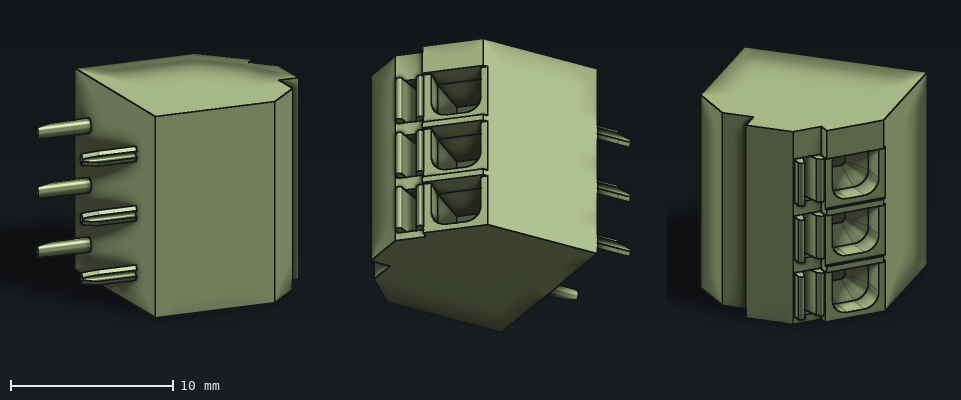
import cadquery as cq
import math


WIDTH = 12.0
HEIGHT = 12.93
BODY_DEPTH = 11.7
SHOULDER_Y = 8.1
PEAK_X = 2.75
NOTCH_DEPTH = 0.75
BACK_STEP_X = 7.73
BACK_STEP_Y = 10.33

POLE_COUNT = 3
POLE_PITCH = 3.81
RECESS_HEIGHT = 3.4
RECESS_DROP = 0.31

MOUTH_START = 0.44
MOUTH_WIDTH = 3.17
MOUTH_FLOOR_Z = 0.4
MOUTH_RADIUS = 1.0
MOUTH_DEPTH = 1.5
TAPER_DEPTH = 1.87
TAPER_ANGLE = math.radians(21)

LEVER_BASE_Z = 0.51
LEVER_TOP_Z = 3.38
SLOT_TOP_Z = 3.45
SLOT_LENGTH = 1.8
SLOT_DEPTH = 1.32
LEVER_TILT = math.radians(30)
BUMP_RADIUS = 0.14
TAB_RADIUS = 0.19
BUMP_X = 2.97
BUMP_TOP_Y = 10.95
BUMP_FLAT_END_X = 3.39
TAB_TOP_Y = 11.95
TAB_X = 3.87

PIN_XS = {1.99: 1, 9.25: -1}
PIN_Z = 2.16
PIN_LENGTH = 3.61
PIN_TAPER_LENGTH = 1.03
PIN_OUTER_RADIUS = 0.5
PIN_INNER_RADIUS = 0.17
PIN_ARM_LENGTH = 0.12
PIN_HALF_ANGLE = math.radians(60)
PIN_TIP_APEX = 0.12
PIN_OVERLAP = 0.15

DIAGONAL = math.sqrt(0.5)
PEAK = (PEAK_X, SHOULDER_Y + PEAK_X)
NOTCH_ROOT = (PEAK[0] + NOTCH_DEPTH * DIAGONAL, PEAK[1] - NOTCH_DEPTH * DIAGONAL)
NOTCH_TOP = (NOTCH_ROOT[0] + BODY_DEPTH - NOTCH_ROOT[1], BODY_DEPTH)


def prism(points, base_z, top_z):
    """Straight block along Z over a polygon."""
    return cq.Workplane("XY").workplane(offset=base_z).polyline(points).close().extrude(top_z - base_z)


def diagonal_point(start, along, inward):
    """Point reached from start by going up along the 45 degree face and then into the housing."""
    return (start[0] + (along + inward) * DIAGONAL, start[1] + (along - inward) * DIAGONAL)


def housing():
    back_chamfer_x = WIDTH - (BACK_STEP_Y - SHOULDER_Y)
    outline = [
        (0, 0),
        (0, SHOULDER_Y),
        PEAK,
        NOTCH_ROOT,
        NOTCH_TOP,
        (BACK_STEP_X, BODY_DEPTH),
        (BACK_STEP_X, BACK_STEP_Y),
        (back_chamfer_x, BACK_STEP_Y),
        (WIDTH, SHOULDER_Y),
        (WIDTH, 0),
    ]
    return prism(outline, 0, HEIGHT)


def recess(base_z):
    """Lowers the 45 degree face, up to the notch wall, over the height of one cell."""
    wall_drop = RECESS_DROP / 2
    outline = [
        (0, SHOULDER_Y - RECESS_DROP),
        (PEAK[0] + wall_drop, PEAK[1] - wall_drop),
        PEAK,
        (0, SHOULDER_Y),
    ]
    return prism(outline, base_z, base_z + RECESS_HEIGHT)


def entry_wire(base_z, inward, inset):
    """Mouth outline shrunk by inset, parallel to the recessed 45 degree face and inward from it."""
    plane = cq.Plane(
        origin=(inward * DIAGONAL, SHOULDER_Y - RECESS_DROP - inward * DIAGONAL, base_z),
        xDir=(1, 1, 0),
        normal=(1, -1, 0),
    )
    start = MOUTH_START + inset
    end = MOUTH_START + MOUTH_WIDTH - inset
    floor = MOUTH_FLOOR_Z + inset
    ceiling = RECESS_HEIGHT - inset
    radius = MOUTH_RADIUS - inset
    outline = (
        cq.Workplane(plane)
        .moveTo(start + radius, floor)
        .lineTo(end - radius, floor)
        .radiusArc((end, floor + radius), -radius)
        .lineTo(end, ceiling)
        .lineTo(start, ceiling)
        .lineTo(start, floor + radius)
        .radiusArc((start + radius, floor), -radius)
        .close()
    )
    return outline.val()


def wire_entry(base_z):
    mouth = entry_wire(base_z, 0, 0)
    bend = entry_wire(base_z, MOUTH_DEPTH, 0)
    end = entry_wire(base_z, MOUTH_DEPTH + TAPER_DEPTH, TAPER_DEPTH * math.tan(TAPER_ANGLE))
    slot = cq.Solid.makeLoft([mouth, bend], True)
    taper = cq.Solid.makeLoft([bend, end], True)
    return cq.Workplane(slot).union(cq.Workplane(taper))


def lever_slot(base_z):
    outline = [
        NOTCH_ROOT,
        diagonal_point(NOTCH_ROOT, SLOT_LENGTH, 0),
        diagonal_point(NOTCH_ROOT, SLOT_LENGTH, SLOT_DEPTH),
        diagonal_point(NOTCH_ROOT, 0, SLOT_DEPTH),
    ]
    return prism(outline, base_z + LEVER_BASE_Z, base_z + SLOT_TOP_Z)


def lever(base_z):
    """Lever filling the slot, with a V groove between a low bump and a tall tab."""
    sin_tilt = math.sin(LEVER_TILT)
    cos_tilt = math.cos(LEVER_TILT)

    tip_centre = (TAB_X + TAB_RADIUS, TAB_TOP_Y - TAB_RADIUS)
    flank_start = (tip_centre[0] - TAB_RADIUS * cos_tilt, tip_centre[1] - TAB_RADIUS * sin_tilt)

    across = flank_start[0] - BUMP_FLAT_END_X
    down = BUMP_TOP_Y - flank_start[1]
    flank_length = (across * sin_tilt - down * cos_tilt) / math.cos(2 * LEVER_TILT)
    groove_root = (flank_start[0] + flank_length * sin_tilt, flank_start[1] - flank_length * cos_tilt)

    slot_end = diagonal_point(NOTCH_ROOT, SLOT_LENGTH, 0)
    tab_back_x = slot_end[0] + slot_end[1] - TAB_TOP_Y
    bump_foot = (BUMP_X, NOTCH_ROOT[0] + NOTCH_ROOT[1] - BUMP_X)
    profile = (
        cq.Workplane("XY")
        .workplane(offset=base_z + LEVER_BASE_Z)
        .moveTo(*NOTCH_ROOT)
        .lineTo(*bump_foot)
        .lineTo(BUMP_X, BUMP_TOP_Y - BUMP_RADIUS)
        .radiusArc((BUMP_X + BUMP_RADIUS, BUMP_TOP_Y), BUMP_RADIUS)
        .lineTo(BUMP_FLAT_END_X, BUMP_TOP_Y)
        .lineTo(*groove_root)
        .lineTo(*flank_start)
        .radiusArc((tip_centre[0], TAB_TOP_Y), TAB_RADIUS)
        .lineTo(tab_back_x, TAB_TOP_Y)
        .lineTo(*diagonal_point(NOTCH_ROOT, SLOT_LENGTH, SLOT_DEPTH))
        .lineTo(*diagonal_point(NOTCH_ROOT, 0, SLOT_DEPTH))
        .close()
    )
    return profile.extrude(LEVER_TOP_Z - LEVER_BASE_Z)


def pin_bar(centre_x, side, centre_z, length):
    """C-shaped bar that stands out of the housing by length, centred on the arc of its section."""

    def arm_point(radius, length, end):
        """Point on an arm, length beyond the arc; end is 1 for the upper arm, -1 for the lower."""
        x = radius * math.cos(PIN_HALF_ANGLE) - length * math.sin(PIN_HALF_ANGLE)
        z = radius * math.sin(PIN_HALF_ANGLE) + length * math.cos(PIN_HALF_ANGLE)
        return (side * x, end * z)

    outer = PIN_OUTER_RADIUS
    inner = PIN_INNER_RADIUS
    section = (
        cq.Workplane("XZ", origin=(centre_x, PIN_OVERLAP, centre_z))
        .moveTo(*arm_point(outer, PIN_ARM_LENGTH, 1))
        .lineTo(*arm_point(outer, 0, 1))
        .threePointArc((side * outer, 0), arm_point(outer, 0, -1))
        .lineTo(*arm_point(outer, PIN_ARM_LENGTH, -1))
        .lineTo(*arm_point(inner, PIN_ARM_LENGTH, -1))
        .lineTo(*arm_point(inner, 0, -1))
        .threePointArc((side * inner, 0), arm_point(inner, 0, 1))
        .lineTo(*arm_point(inner, PIN_ARM_LENGTH, 1))
        .close()
    )
    return section.extrude(PIN_OVERLAP + length)


def pin(centre_x, side, centre_z):
    """Solder pin whose closed side faces +X (side = 1) or -X (side = -1)."""

    def wedge_wire(apex, y):
        """Triangle whose two slanted sides are parallel to the ends of the arms."""
        reach = 2 * PIN_OUTER_RADIUS
        half_width = reach * math.tan(PIN_HALF_ANGLE)
        far_x = centre_x + side * (apex + reach)
        corners = [
            cq.Vector(centre_x + side * apex, y, centre_z),
            cq.Vector(far_x, y, centre_z + half_width),
            cq.Vector(far_x, y, centre_z - half_width),
        ]
        return cq.Wire.makePolygon(corners, close=True)

    straight_length = PIN_LENGTH - PIN_TAPER_LENGTH
    straight = pin_bar(centre_x, side, centre_z, straight_length)
    full = pin_bar(centre_x, side, centre_z, PIN_LENGTH)
    arm_end_apex = -PIN_ARM_LENGTH / math.sin(PIN_HALF_ANGLE)
    taper_start = wedge_wire(arm_end_apex, -straight_length)
    taper_end = wedge_wire(PIN_TIP_APEX, -PIN_LENGTH)
    taper = cq.Solid.makeLoft([taper_start, taper_end], True)
    return straight.union(full.intersect(cq.Workplane(taper)))


result = housing()
for pole in range(POLE_COUNT):
    cell_z = pole * POLE_PITCH
    result = result.cut(recess(cell_z)).cut(wire_entry(cell_z)).cut(lever_slot(cell_z))
    result = result.union(lever(cell_z))
    for pin_x, closed_side in PIN_XS.items():
        result = result.union(pin(pin_x, closed_side, cell_z + PIN_Z))